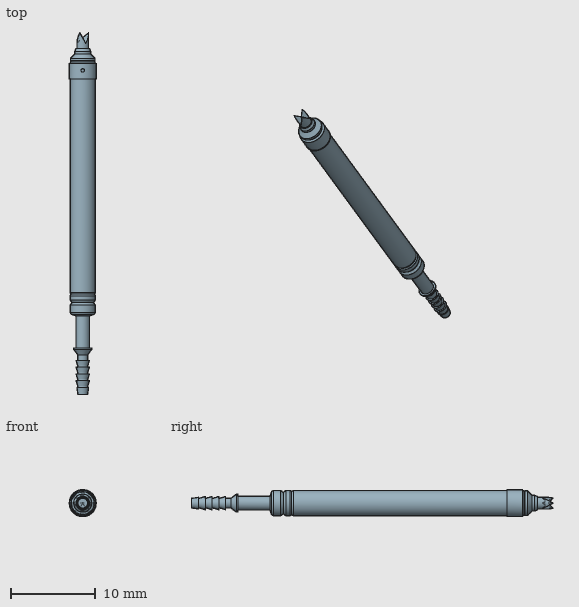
import cadquery as cq
import math


total_length = 42.7
tip_y = 5.45
tail_y = tip_y - total_length
barrel_radius = 1.5
collar_radius = 1.6
plunger_radius = 0.7
rod_radius = 0.82
neck_radius = 0.6

collar_front_y = 1.8
nose_groove_y = 2.0
nose_groove_radius = 1.39
nose_rim_rear_y = 2.15
nose_rim_front_y = 2.42
nose_rim_radius = 1.475
guide_radius = 0.95
guide_rear_y = 2.95
guide_front_y = 3.25
nose_face_radius = 0.8
nose_face_y = 3.6

shallow_groove_y = -25.4
shallow_groove_half_width = 0.2
shallow_groove_radius = 1.4
deep_groove_y = -26.4
deep_groove_half_width = 0.3
deep_groove_radius = 1.28
barrel_chamfer_start_y = -27.57
barrel_chamfer_end_y = -27.8
barrel_chamfer_end_radius = 1.35
barrel_cone_end_y = -27.97

flange_radius = 1.07
flange_front_y = -31.75
flange_rear_y = -31.93
flange_cone_end_y = -32.55

barb_count = 4
barb_pitch = 0.8
barb_taper_length = 0.65
first_barb_y = -33.2
barb_radius = 0.8
end_barb_radius = 0.7
tail_end_radius = 0.58

tooth_count = 3
crown_centre_depth = 0.56
groove_outer_depth = 1.27
crown_cutter_scale = 2.0

dimple_y = 1.0
dimple_diameter = 0.4
dimple_depth = 0.15


def nose_points():
    """Half profile from the crown back to the collar shoulder, as (radius, y)."""
    return [
        (plunger_radius, tip_y),
        (plunger_radius, nose_face_y),
        (nose_face_radius, nose_face_y),
        (guide_radius, guide_front_y),
        (guide_radius, guide_rear_y),
        (nose_rim_radius, nose_rim_front_y),
        (nose_rim_radius, nose_rim_rear_y),
        (nose_groove_radius, nose_groove_y),
        (collar_radius, collar_front_y),
        (collar_radius, 0),
        (barrel_radius, 0),
    ]


def groove_points(centre_y, half_width, floor_radius):
    """V groove rolled into the barrel."""
    return [
        (barrel_radius, centre_y + half_width),
        (floor_radius, centre_y),
        (barrel_radius, centre_y - half_width),
    ]


def barrel_end_points():
    """Chamfered rear edge of the barrel."""
    return [
        (barrel_radius, barrel_chamfer_start_y),
        (barrel_chamfer_end_radius, barrel_chamfer_end_y),
    ]


def rod_points():
    """Rear rod with its flange, from the shallow cone on the barrel end to the neck."""
    return [
        (rod_radius, barrel_cone_end_y),
        (rod_radius, flange_front_y),
        (flange_radius, flange_front_y),
        (flange_radius, flange_rear_y),
        (neck_radius, flange_cone_end_y),
    ]


def barb_points():
    """Barbs with a flat front face and a taper to the rear, then the tail end."""
    points = []
    for index in range(barb_count):
        face_y = first_barb_y - index * barb_pitch
        points.append((neck_radius, face_y))
        points.append((barb_radius, face_y))
        points.append((neck_radius, face_y - barb_taper_length))
    end_barb_y = first_barb_y - barb_count * barb_pitch
    points.append((neck_radius, end_barb_y))
    points.append((end_barb_radius, end_barb_y))
    points.append((tail_end_radius, tail_y))
    return points


def turned_body():
    outline = [(0, tip_y)]
    outline += nose_points()
    outline += groove_points(shallow_groove_y, shallow_groove_half_width, shallow_groove_radius)
    outline += groove_points(deep_groove_y, deep_groove_half_width, deep_groove_radius)
    outline += barrel_end_points()
    outline += rod_points()
    outline += barb_points()
    outline.append((0, tail_y))
    return cq.Workplane("XY").polyline(outline).close().revolve(360, (0, 0, 0), (0, 1, 0))


def triangle(first, second, third):
    return cq.Face.makeFromWires(cq.Wire.makePolygon([first, second, third], close=True))


def crown_cutter():
    """Star-shaped solid whose underside falls from each tooth ridge to the groove floors beside it.

    Ridges and floors all start at the same point on the axis. They run past the plunger
    so that the cutter clears it.
    """
    centre_y = tip_y - crown_centre_depth
    rim_radius = plunger_radius * crown_cutter_scale
    ridge_y = centre_y + crown_centre_depth * crown_cutter_scale
    floor_y = centre_y - (groove_outer_depth - crown_centre_depth) * crown_cutter_scale

    rim = []
    for index in range(2 * tooth_count):
        angle = math.pi * index / tooth_count
        height = ridge_y if index % 2 == 0 else floor_y
        rim.append(cq.Vector(rim_radius * math.cos(angle), height, rim_radius * math.sin(angle)))

    bottom = cq.Vector(0, centre_y, 0)
    top = cq.Vector(0, tip_y + total_length, 0)
    faces = []
    for index, start in enumerate(rim):
        end = rim[(index + 1) % len(rim)]
        faces.append(triangle(bottom, start, end))
        faces.append(triangle(top, end, start))
    return cq.Workplane(cq.Solid.makeSolid(cq.Shell.makeShell(faces)))


def collar_dimple():
    """Round blind mark in the +Z side of the collar."""
    floor_z = collar_radius - dimple_depth
    return (
        cq.Workplane("XY", origin=(0, dimple_y, floor_z))
        .circle(dimple_diameter / 2)
        .extrude(collar_radius)
    )


result = turned_body().cut(crown_cutter()).cut(collar_dimple())